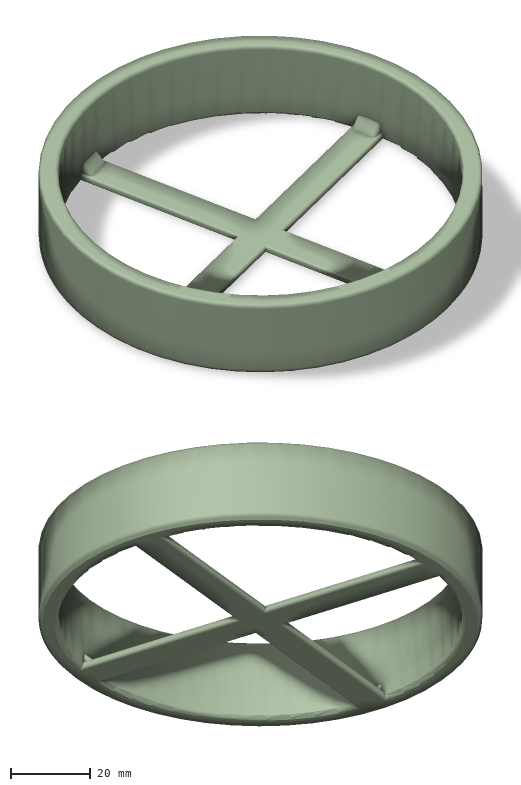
import cadquery as cq

outer_diameter = 112.0
inner_diameter = 102.0
ring_height = 22.0
ring_fillet = 1.0
outer_bottom_chamfer = 1.0

arm_width = 8.5
arm_thickness = 2.0
arm_fillet = 0.7

gusset_leg = 2.9
gusset_fillet = 1.0
gusset_count = 4

inner_radius = inner_diameter / 2
wall_middle_radius = (outer_diameter + inner_diameter) / 4
gusset_width = arm_width - 2 * arm_fillet


def make_ring():
    """Round band with rounded rims; the outer bottom rim is chamfered, then eased into the wall."""
    band = cq.Workplane("XY").circle(outer_diameter / 2).circle(inner_radius).extrude(ring_height)
    outer_bottom_rim = cq.selectors.RadiusNthSelector(-1)
    band = band.faces("<Z").edges(outer_bottom_rim).chamfer(outer_bottom_chamfer)
    band = band.edges("%CIRCLE").edges(cq.selectors.RadiusNthSelector(-1)).edges("<Z").fillet(ring_fillet)
    inner_bottom_rim = cq.selectors.RadiusNthSelector(0)
    band = band.faces("<Z").edges(inner_bottom_rim).fillet(ring_fillet)
    return band.faces(">Z").edges().fillet(ring_fillet)


def make_cross():
    """Two crossed arms with rounded long edges, ending inside the ring wall."""
    arm_length = 2 * wall_middle_radius
    base = cq.Workplane("XY")
    along_x = base.rect(arm_length, arm_width).extrude(arm_thickness)
    along_y = base.rect(arm_width, arm_length).extrude(arm_thickness)
    cross = along_x.union(along_y)
    return cross.faces("<Z or >Z").edges().fillet(arm_fillet)


def make_gusset():
    """Wedge on the +X arm, rising at 45 degrees into the wall, with rounded slope sides."""
    toe_radius = inner_radius - gusset_leg
    wedge = (
        cq.Workplane("XZ")
        .moveTo(toe_radius, arm_thickness)
        .lineTo(inner_radius, arm_thickness + gusset_leg)
        .lineTo(wall_middle_radius, arm_thickness + gusset_leg)
        .lineTo(wall_middle_radius, arm_thickness)
        .close()
        .extrude(gusset_width / 2, both=True)
    )
    slope_middle = (inner_radius - gusset_leg / 2, arm_thickness + gusset_leg / 2)
    for side in (-1, 1):
        edge_point = (slope_middle[0], side * gusset_width / 2, slope_middle[1])
        wedge = wedge.edges(cq.selectors.NearestToPointSelector(edge_point)).fillet(gusset_fillet)
    return wedge


result = make_ring().union(make_cross())
gusset = make_gusset()
for index in range(gusset_count):
    angle = index * 360 / gusset_count
    result = result.union(gusset.rotate((0, 0, 0), (0, 0, 1), angle))